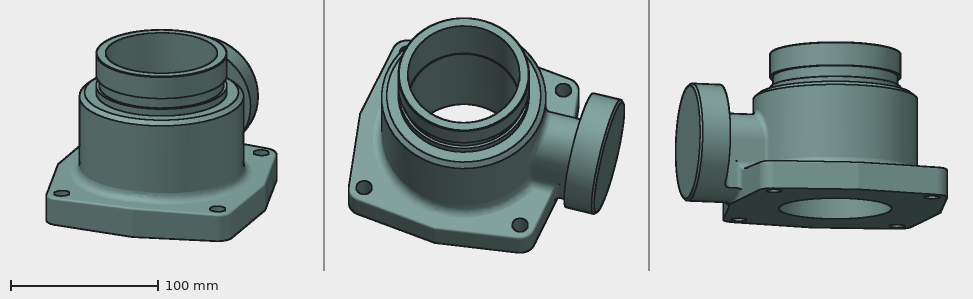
import cadquery as cq
import math

plate_peak = 73.215
side_angle = 7.8
side_slope = math.tan(math.radians(side_angle))
plate_corner = plate_peak / (1 + side_slope)
plate_corner_radius = 10.5
plate_ridge_height = 21.0
roof_angle = 1.6
roof_slope = math.tan(math.radians(roof_angle))
plate_edge_radius = 1.5
underside_allowance = 5.0
bolt_offset = 55.0
bolt_hole_diameter = 10.5

total_height = 106.88
body_radius = 55.85
shoulder_height = 78.2
shoulder_chamfer_height = 2.8
shoulder_chamfer_width = 3.5
collar_radius = 44.5
collar_chamfer = 0.5
groove_radius = 42.4
groove_bottom = 83.2
groove_top = 90.9

bore_radius = 38.0
lower_bore_radius = 38.5
bore_step_height = 69.0

port_height = 41.8
port_flange_radius = 40.0
port_face = 102.665
port_flange_thickness = 20.8
port_chamfer = 1.5
neck_half_width = 20.65
port_back = port_face - port_flange_thickness
neck_length = port_back - bore_radius

root_radius = 6.0
neck_radius = 3.5
select_margin = 0.5


def edges_within(low, high):
    """Selects the edges that lie wholly inside the box between two corners."""
    return cq.selectors.BoxSelector(low, high, boundingbox=True)


def edges_at_corners(z):
    """Selects one edge at each plate corner, the nearest at the given height."""
    nearest = cq.selectors.NearestToPointSelector
    right = nearest((plate_corner, plate_corner, z)) + nearest((plate_corner, -plate_corner, z))
    left = nearest((-plate_corner, plate_corner, z)) + nearest((-plate_corner, -plate_corner, z))
    return right + left


def make_plate():
    outline = [
        (plate_peak, 0), (plate_corner, plate_corner), (0, plate_peak), (-plate_corner, plate_corner),
        (-plate_peak, 0), (-plate_corner, -plate_corner), (0, -plate_peak), (plate_corner, -plate_corner),
    ]
    block = (
        cq.Workplane("XY", origin=(0, 0, -underside_allowance))
        .polyline(outline)
        .close()
        .extrude(plate_ridge_height + underside_allowance)
    )
    block = block.edges(edges_at_corners(plate_ridge_height / 2)).fillet(plate_corner_radius)

    eave_height = plate_ridge_height - plate_peak * roof_slope
    roof = (
        cq.Workplane("XZ")
        .polyline([
            (-plate_peak, -underside_allowance), (plate_peak, -underside_allowance),
            (plate_peak, eave_height), (0, plate_ridge_height), (-plate_peak, eave_height),
        ])
        .close()
        .extrude(plate_peak, both=True)
    )
    return block.intersect(roof)


def make_body():
    profile = [
        (0, 0), (body_radius, 0), (body_radius, shoulder_height - shoulder_chamfer_height),
        (body_radius - shoulder_chamfer_width, shoulder_height), (collar_radius, shoulder_height),
        (collar_radius, groove_bottom), (groove_radius, groove_bottom), (groove_radius, groove_top),
        (collar_radius, groove_top), (collar_radius, total_height - collar_chamfer),
        (collar_radius - collar_chamfer, total_height), (0, total_height),
    ]
    return cq.Workplane("XZ").polyline(profile).close().revolve(360, (0, 0), (0, 1))


def port_plane(y):
    """A workplane across the port axis, facing the body."""
    return cq.Workplane(cq.Plane(origin=(0, y, port_height), xDir=(1, 0, 0), normal=(0, -1, 0)))


def make_port():
    """A flange and a neck with a half-round top and flat sides, both trimmed to the flange rim."""
    blank_half = 1.5 * port_flange_radius
    flange = port_plane(port_face).rect(2 * blank_half, 2 * blank_half).extrude(port_flange_thickness)
    neck = (
        port_plane(port_back)
        .moveTo(neck_half_width, -blank_half)
        .lineTo(neck_half_width, 0)
        .threePointArc((0, neck_half_width), (-neck_half_width, 0))
        .lineTo(-neck_half_width, -blank_half)
        .close()
        .extrude(neck_length)
    )
    neck_root = edges_within(
        (-neck_half_width - select_margin, port_back - select_margin, port_height - blank_half - select_margin),
        (neck_half_width + select_margin, port_back + select_margin, port_height + blank_half - select_margin),
    )
    port = flange.union(neck).edges(neck_root).fillet(neck_radius)
    rim = port_plane(port_face).circle(port_flange_radius).extrude(port_flange_thickness + neck_length)
    return port.intersect(rim).faces(">Y").chamfer(port_chamfer)


def blend_joints(casting):
    """Fillets where the plate, the body and the neck meet, and around the plate rim."""
    side_x = neck_half_width + select_margin
    plate_side_y = plate_peak - neck_half_width * side_slope
    eave = plate_ridge_height - plate_peak * roof_slope
    top_at_neck = plate_ridge_height - neck_half_width * roof_slope
    body_low_y = math.sqrt(body_radius**2 - neck_half_width**2) - select_margin

    neck_on_body = edges_within(
        (-side_x, body_low_y, top_at_neck - select_margin),
        (side_x, body_radius + select_margin, port_height + neck_half_width + select_margin),
    )
    neck_on_plate_side = edges_within(
        (-side_x, plate_side_y - select_margin, 0),
        (side_x, plate_peak + select_margin, top_at_neck + root_radius + select_margin),
    )
    onto_plate_top = edges_within(
        (-body_radius - select_margin, -body_radius - select_margin, eave),
        (body_radius + select_margin, plate_side_y + select_margin, plate_ridge_height + select_margin),
    )
    rim_corners = edges_at_corners(plate_ridge_height - plate_corner * roof_slope)

    casting = casting.edges(neck_on_body).fillet(neck_radius)
    casting = casting.edges(onto_plate_top).fillet(root_radius)
    casting = casting.edges(neck_on_plate_side).fillet(neck_radius)
    casting = casting.edges(rim_corners).fillet(plate_edge_radius)
    return casting


def cut_bore(casting):
    upper = cq.Workplane("XY").circle(bore_radius).extrude(total_height)
    lower = cq.Workplane("XY").circle(lower_bore_radius).extrude(bore_step_height)
    return casting.cut(upper).cut(lower)


def cut_bolt_holes(casting):
    bolts = (
        cq.Workplane("XY")
        .rect(2 * bolt_offset, 2 * bolt_offset, forConstruction=True)
        .vertices()
        .circle(bolt_hole_diameter / 2)
        .extrude(plate_ridge_height)
    )
    return casting.cut(bolts)


def trim_underside(casting):
    allowance = (
        cq.Workplane("XY")
        .rect(3 * plate_peak, 3 * plate_peak)
        .extrude(-underside_allowance)
    )
    return casting.cut(allowance)


casting = make_plate().union(make_body()).union(make_port())
casting = blend_joints(casting)
casting = trim_underside(casting)
casting = cut_bore(casting)
result = cut_bolt_holes(casting)